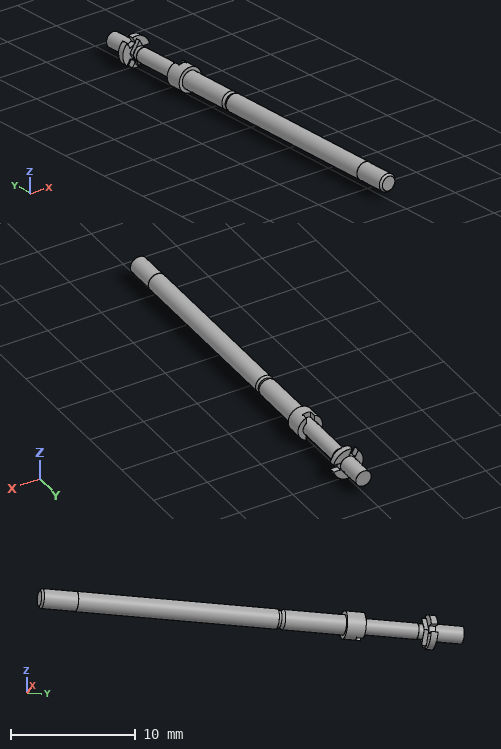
import cadquery as cq
import math

LENGTH = 35.4
TIP_DIAMETER = 1.45
FLANGE_START = 2.4
FLANGE_END = 2.97
FLANGE_DIAMETER = 2.8
KEY_END = 3.35
NECK_DIAMETER = 1.27
NECK_END = 3.8
SHAFT_DIAMETER = 1.35
COLLAR_START = 8.35
COLLAR_END = 9.9
COLLAR_DIAMETER = 2.3
BODY_DIAMETER = 1.65
GROOVE_START = 15.0
GROOVE_BOTTOM = 15.3
GROOVE_END = 15.55
GROOVE_DIAMETER = 1.45
GROOVE_DEPTH = (BODY_DIAMETER - GROOVE_DIAMETER) / 2
GROOVE_ARC_RADIUS = ((GROOVE_BOTTOM - GROOVE_START) ** 2 + GROOVE_DEPTH**2) / (2 * GROOVE_DEPTH)
TAIL_START = 32.35
TAIL_DIAMETER = 1.63
END_CHAMFER = 0.18

NOTCH_COUNT = 3
NOTCH_WIDTH = 0.65
NOTCH_FLOOR_DISTANCE = TIP_DIAMETER / 2
KEY_HALF_HEIGHT = COLLAR_DIAMETER / 2
KEY_HALF_ANGLE = 30
KEY_HALF_WIDTH = KEY_HALF_HEIGHT * math.tan(math.radians(KEY_HALF_ANGLE))
SLOT_WIDTH = 0.75
SLOT_DEPTH = 0.55


def across(distance):
    """Workplane square to the pin axis, with local X = X, local Y = Z and normal toward -Y."""
    return cq.Workplane("XZ", origin=(0, -distance, 0))


def cylinder(start, end, diameter):
    return across(start).circle(diameter / 2).extrude(end - start)


def turned_pin():
    """Plain round stretches of the pin, leaving out the key between the flange and the neck."""
    pin = cylinder(0, FLANGE_END, TIP_DIAMETER)
    pin = pin.union(cylinder(KEY_END, NECK_END, NECK_DIAMETER))
    pin = pin.union(cylinder(NECK_END, COLLAR_END, SHAFT_DIAMETER))
    pin = pin.union(cylinder(COLLAR_END, TAIL_START, BODY_DIAMETER))
    tail = cylinder(TAIL_START, LENGTH, TAIL_DIAMETER)
    tail = tail.faces("<Y").chamfer(END_CHAMFER)
    return pin.union(tail)


def groove():
    """Ring that curves in from the tip side and slopes back out to the body surface."""
    profile = (
        cq.Workplane("XY")
        .moveTo(GROOVE_DIAMETER / 2, -GROOVE_BOTTOM)
        .lineTo(BODY_DIAMETER / 2, -GROOVE_END)
        .lineTo(BODY_DIAMETER / 2, -GROOVE_START)
        .radiusArc((GROOVE_DIAMETER / 2, -GROOVE_BOTTOM), -GROOVE_ARC_RADIUS)
        .close()
    )
    return profile.revolve(360, (0, 0, 0), (0, 1, 0))


def notched_flange():
    """Flange with evenly spaced notches, the first one facing +X."""
    thickness = FLANGE_END - FLANGE_START
    flange = cylinder(FLANGE_START, FLANGE_END, FLANGE_DIAMETER)
    notch_depth = FLANGE_DIAMETER / 2 - NOTCH_FLOOR_DISTANCE
    notch_center = NOTCH_FLOOR_DISTANCE + notch_depth / 2
    notch = across(FLANGE_START).center(notch_center, 0).rect(notch_depth, NOTCH_WIDTH).extrude(thickness)
    for index in range(NOTCH_COUNT):
        flange = flange.cut(notch.rotate((0, 0, 0), (0, 1, 0), index * 360 / NOTCH_COUNT))
    return flange


def diamond_key():
    """Diamond-section key under the flange, tall in Z and narrow in X."""
    corners = [
        (KEY_HALF_WIDTH, 0),
        (0, KEY_HALF_HEIGHT),
        (-KEY_HALF_WIDTH, 0),
        (0, -KEY_HALF_HEIGHT),
    ]
    return across(FLANGE_END).polyline(corners).close().extrude(KEY_END - FLANGE_END)


def slotted_collar():
    """Collar with a slot across its tip-side face, running from top to bottom."""
    slot = across(COLLAR_START).rect(SLOT_WIDTH, COLLAR_DIAMETER).extrude(SLOT_DEPTH)
    return cylinder(COLLAR_START, COLLAR_END, COLLAR_DIAMETER).cut(slot)


result = (
    turned_pin()
    .cut(groove())
    .union(notched_flange())
    .union(diamond_key())
    .union(slotted_collar())
)